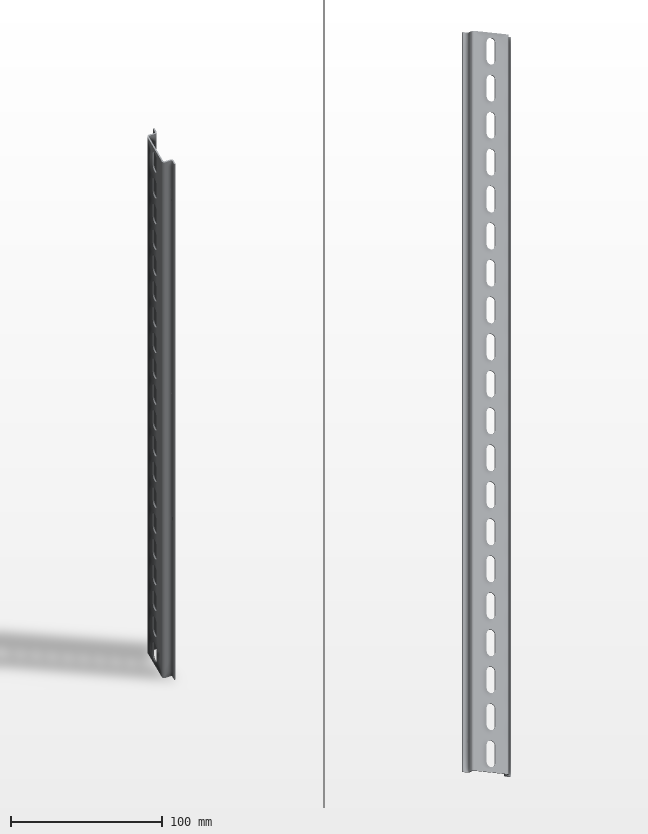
import cadquery as cq

rail_length = 500.0
rail_width = 35.0
rail_depth = 7.5
base_width = 27.0
sheet = 1.0
inner_bend_radius = 0.8
outer_bend_radius = inner_bend_radius + sheet

slot_count = 20
slot_pitch = rail_length / slot_count
slot_length = 18.0
slot_end_radius = 3.15

base_y = -rail_depth / 2
flange_y = rail_depth / 2
edge_x = rail_width / 2
wall_x = base_width / 2


def rail_blank():
    """Extruded top-hat section with sharp corners, centred on the origin."""
    right_half = [
        (wall_x, base_y),
        (wall_x, flange_y - sheet),
        (edge_x, flange_y - sheet),
        (edge_x, flange_y),
        (wall_x - sheet, flange_y),
        (wall_x - sheet, base_y + sheet),
    ]
    left_half = [(-x, y) for x, y in reversed(right_half)]
    section = cq.Workplane("XY").polyline(right_half + left_half).close()
    return section.extrude(rail_length / 2, both=True)


def round_corners(body, x, y, radius):
    """Round the mirrored pair of lengthwise edges at (+x, y) and (-x, y)."""
    for corner_x in (x, -x):
        corner = cq.selectors.NearestToPointSelector((corner_x, y, 0))
        body = body.edges(corner).fillet(radius)
    return body


def slot_cutters():
    """Row of round-ended slots along Z, half a pitch in from each rail end."""
    return (
        cq.Workplane("XZ", origin=(0, base_y + sheet, 0))
        .rarray(5, slot_pitch, 1, slot_count)
        .slot2D(slot_length, 2 * slot_end_radius, angle=90)
        .extrude(sheet)
    )


rail = rail_blank()

rail = round_corners(rail, wall_x, base_y, outer_bend_radius)
rail = round_corners(rail, wall_x - sheet, base_y + sheet, inner_bend_radius)

rail = round_corners(rail, wall_x - sheet, flange_y, outer_bend_radius)
rail = round_corners(rail, wall_x, flange_y - sheet, inner_bend_radius)

result = rail.cut(slot_cutters())